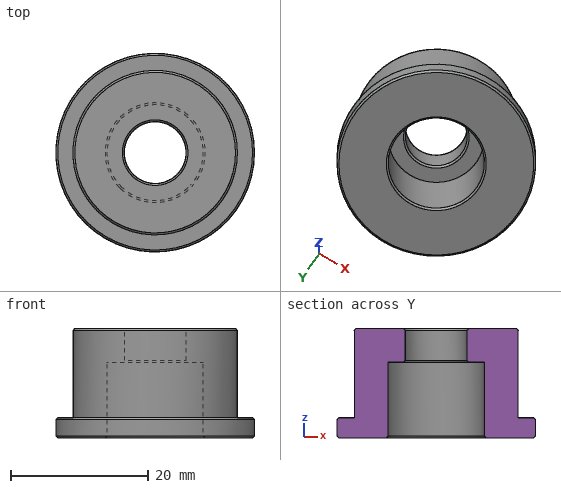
import cadquery as cq

flange_diameter = 29.0
flange_thickness = 3.0
body_diameter = 24.0
total_height = 16.0
bore_diameter = 9.0
bore_length = 5.0
counterbore_diameter = 14.0
edge_chamfer = 0.3

flange = (
    cq.Workplane("XY")
    .circle(flange_diameter / 2)
    .extrude(flange_thickness)
    .edges()
    .chamfer(edge_chamfer)
)

body = (
    cq.Workplane("XY")
    .circle(body_diameter / 2)
    .extrude(total_height)
    .faces(">Z")
    .edges()
    .chamfer(edge_chamfer)
)

bore = cq.Workplane("XY").circle(bore_diameter / 2).extrude(total_height)
counterbore = (
    cq.Workplane("XY")
    .circle(counterbore_diameter / 2)
    .extrude(total_height - bore_length)
)

bushing = flange.union(body).cut(bore).cut(counterbore)

smallest_circle = cq.selectors.RadiusNthSelector(0)
bushing = bushing.edges(smallest_circle).chamfer(edge_chamfer)
result = bushing.faces("<Z").edges(smallest_circle).chamfer(edge_chamfer)